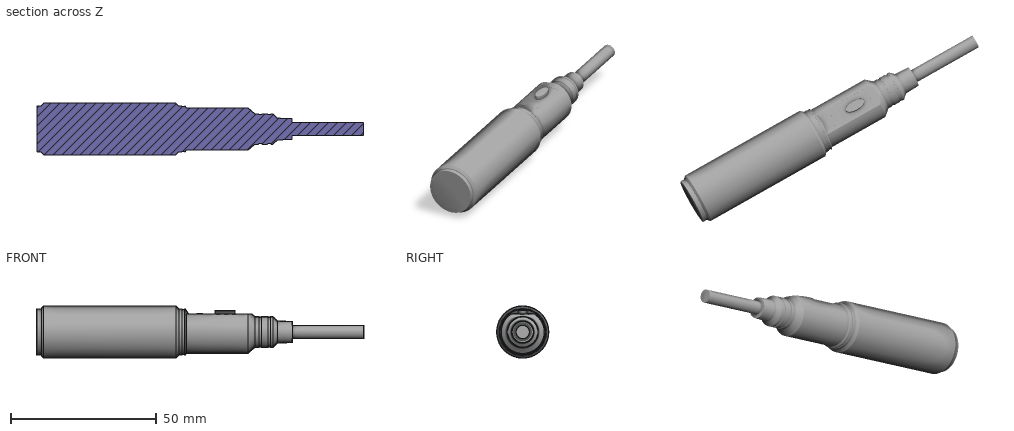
import cadquery as cq


body_start = 1.6
body_end = 49.0
collar_end = 51.15
flat_start = 52.4
handle_end = 72.8
gland_start = 75.2
gland_end = 81.4
sleeve_start = 83.0
sleeve_end = 88.15
overall_length = 112.8

nose_radius = 8.0
body_radius = 9.0
handle_radius = 7.4
gland_radius = 5.35
sleeve_start_radius = 3.85
sleeve_end_radius = 3.65
cable_radius = 2.3

front_chamfer = 0.8
rear_chamfer = body_radius - nose_radius

flat_height = 6.3
cone_slope = (flat_start - collar_end) / (nose_radius - flat_height)
handle_start = collar_end + cone_slope * (nose_radius - handle_radius)

groove_depth = 0.2
collar_groove = (50.05, 51.05)
gland_grooves = [(76.6, 77.6), (79.7, 80.7)]

panel_start = 58.9
panel_end = 70.9
panel_width = 7.5
panel_corner_radius = 1.0
panel_depth = 0.1

button_x = 64.9
button_length = 7.0
button_width = 3.1
button_top = 7.4
well_gap = 0.45
well_depth = 0.25

lamp_x = 56.25
lamp_spacing = 4.6
lamp_radius = 1.0
lamp_height = 0.1


def turned(outline):
    """Revolve a closed (x, radius) outline about the X axis."""
    return cq.Workplane("XY").polyline(outline).close().revolve(360, (0, 0, 0), (1, 0, 0))


def make_turned_body():
    """The whole sensor as one stepped turning, from nose to cable end."""
    return turned([
        (0, 0),
        (0, nose_radius),
        (body_start, nose_radius),
        (body_start, body_radius - front_chamfer),
        (body_start + front_chamfer, body_radius),
        (body_end - rear_chamfer, body_radius),
        (body_end, nose_radius),
        (collar_end, nose_radius),
        (handle_start, handle_radius),
        (handle_end, handle_radius),
        (gland_start, gland_radius),
        (gland_end, gland_radius),
        (sleeve_start, sleeve_start_radius),
        (sleeve_end, sleeve_end_radius),
        (sleeve_end, cable_radius),
        (overall_length, cable_radius),
        (overall_length, 0),
    ])


def cut_ring_groove(part, span, outer_radius):
    """Cut a shallow square groove around a cylinder of the given radius."""
    start, end = span
    floor_radius = outer_radius - groove_depth
    return part.cut(turned([
        (start, floor_radius),
        (start, outer_radius),
        (end, outer_radius),
        (end, floor_radius),
    ]))


def cut_flat(part):
    """Cut the control flat, leaving the collar and its cone standing."""
    cutter = cq.Workplane("XY").box(
        gland_start - collar_end,
        2 * nose_radius,
        nose_radius - flat_height,
        centered=(False, True, False),
    ).translate((collar_end, 0, flat_height))
    cone = turned([
        (collar_end, 0),
        (collar_end, nose_radius),
        (flat_start, flat_height),
        (flat_start, 0),
    ])
    return part.cut(cutter.cut(cone))


def cut_panel(part):
    """Sink the rounded panel slightly below the control flat."""
    panel = (
        cq.Workplane("XY", origin=((panel_start + panel_end) / 2, 0, flat_height - panel_depth))
        .rect(panel_end - panel_start, panel_width)
        .extrude(panel_depth)
        .edges("|Z")
        .fillet(panel_corner_radius)
    )
    return part.cut(panel)


def elliptical_prism(length, width, bottom, top):
    """Upright elliptical prism centred on the button."""
    return (
        cq.Workplane("XY", origin=(button_x, 0, bottom))
        .ellipse(length / 2, width / 2)
        .extrude(top - bottom)
    )


def add_button(part):
    """Cut the well into the panel and stand the button in it."""
    well_floor = flat_height - well_depth
    well_length = button_length + 2 * well_gap
    well_width = button_width + 2 * well_gap
    well = elliptical_prism(well_length, well_width, well_floor, flat_height)
    button = elliptical_prism(button_length, button_width, well_floor, button_top)
    return part.cut(well).union(button)


def add_lamps(part):
    """Two low round lamps side by side on the flat."""
    lamps = (
        cq.Workplane("XY", origin=(lamp_x, 0, flat_height))
        .rarray(1, lamp_spacing, 1, 2)
        .circle(lamp_radius)
        .extrude(lamp_height)
    )
    return part.union(lamps)


sensor = cut_ring_groove(make_turned_body(), collar_groove, nose_radius)
for gland_groove in gland_grooves:
    sensor = cut_ring_groove(sensor, gland_groove, gland_radius)
sensor = cut_flat(sensor)
sensor = cut_panel(sensor)
sensor = add_button(sensor)
result = add_lamps(sensor)